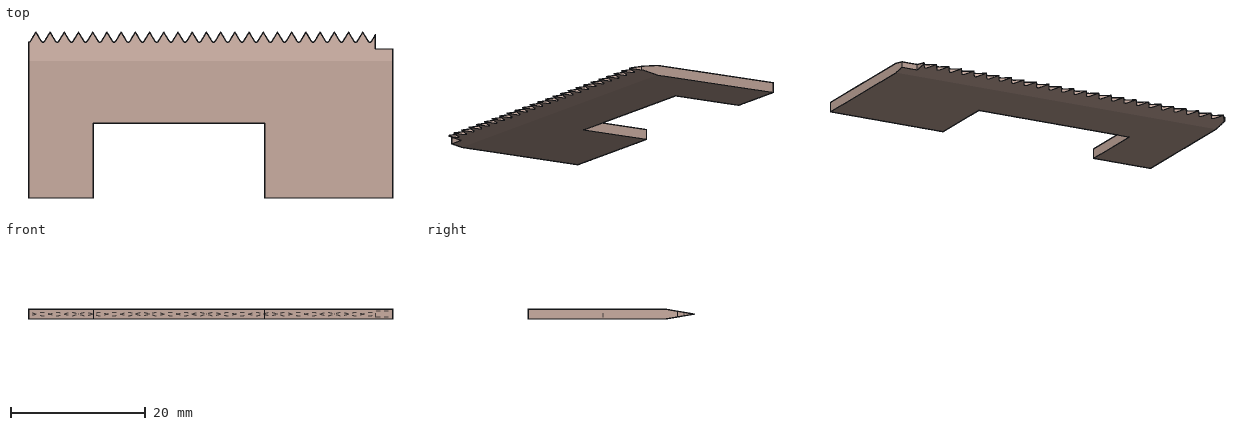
import cadquery as cq
import math

length = 54.0
width = 24.6
thickness = 1.5

notch_left = 9.6
notch_right = 35.0
notch_depth = 11.05

bevel_start = 20.3
edge_thickness = 0.025

tooth_pitch = 2.1
tooth_angle = 62.0
first_gap_center = 0.03
root_radius = 0.25

step_left = 51.4
step_height = 22.15

half_angle = math.radians(tooth_angle / 2)
v_depth = tooth_pitch / 2 / math.tan(half_angle)
root_center = width - v_depth + root_radius / math.sin(half_angle)
root_bottom = root_center - root_radius
tangent_offset = root_radius * math.cos(half_angle)
tangent_height = root_center - root_radius * math.sin(half_angle)


def beveled_bar():
    """Full-length bar whose cross-section tapers to the thin cutting edge."""
    half = thickness / 2
    half_edge = edge_thickness / 2
    section = [
        (0, -half),
        (bevel_start, -half),
        (width, -half_edge),
        (width, half_edge),
        (bevel_start, half),
        (0, half),
    ]
    return cq.Workplane("YZ").polyline(section).close().extrude(length)


def through_box(left, right, bottom, top):
    """Rectangular cutter that passes through the whole thickness."""
    return (
        cq.Workplane("XY")
        .center((left + right) / 2, (bottom + top) / 2)
        .rect(right - left, top - bottom)
        .extrude(thickness, both=True)
    )


def tooth_gap(center):
    """V-shaped cutter between two tooth tips, with a rounded root."""
    return (
        cq.Workplane("XY")
        .moveTo(center - tooth_pitch / 2, width)
        .lineTo(center - tangent_offset, tangent_height)
        .threePointArc((center, root_bottom), (center + tangent_offset, tangent_height))
        .lineTo(center + tooth_pitch / 2, width)
        .close()
        .extrude(thickness, both=True)
    )


result = beveled_bar()
result = result.cut(through_box(notch_left, notch_right, 0, notch_depth))
result = result.cut(through_box(step_left, length, step_height, width))

gap_count = math.ceil((step_left - first_gap_center) / tooth_pitch)
for gap in range(gap_count):
    result = result.cut(tooth_gap(first_gap_center + gap * tooth_pitch))